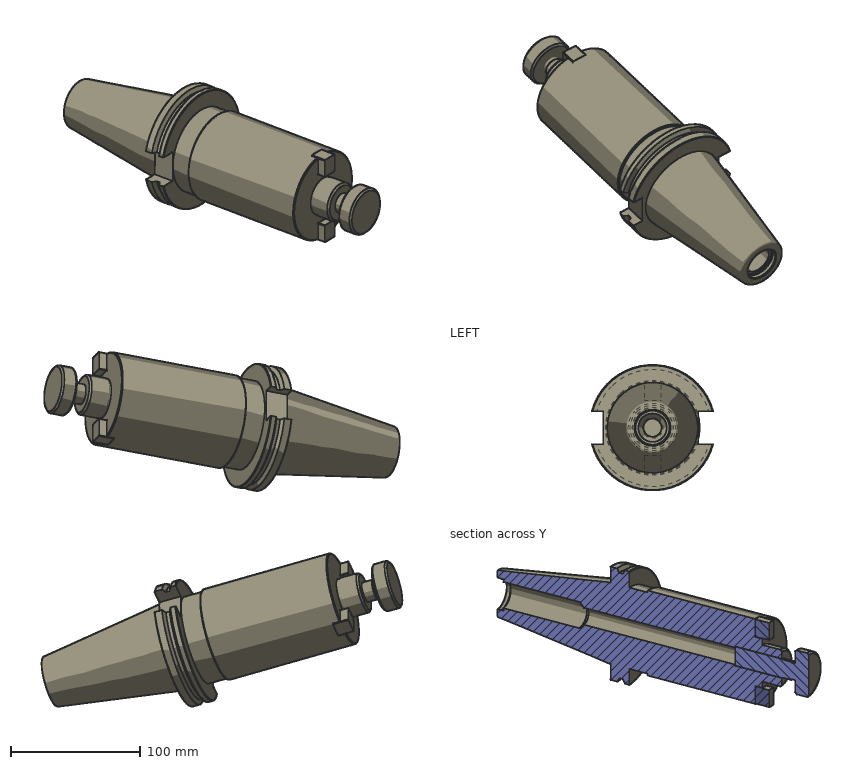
import cadquery as cq

INCH = 25.4

gauge_diameter = 2.75 * INCH
taper_length = 4.0 * INCH
taper_rate = 7 / 24
taper_end_fillet = 2.0
small_end_radius = (gauge_diameter - taper_length * taper_rate) / 2

flange_diameter = 97.14
flange_start = 103.0
flange_end = taper_length + 0.75 * INCH
flange_chamfer = 0.5
groove_center = taper_length + 0.44 * INCH
groove_root_width = 2.9
groove_mouth_width = 7.0
groove_depth = 3.4
slot_width = 25.25
slot_floor_back = 38.1
slot_floor_front = 35.5

body_diameter = 2.875 * INCH
body_start = flange_end + 0.625 * INCH
body_end = taper_length + 5.5 * INCH
body_chamfer = 0.8
pilot_diameter = 1.25 * INCH
pilot_end = body_end + 18.0
pilot_chamfer = 1.6
relief_diameter = 31.25
relief_width = 1.9
relief_cone_length = 0.8

bore_mouth_diameter = 28.0
counterbore_diameter = 26.7
counterbore_depth = 4.0
inner_step_diameter = 26.2
inner_step_depth = 5.7
bore_diameter = 21.97
bore_depth = 75.0
bore_cone_length = 4.0
channel_diameter = 14.0

key_width = 0.5 * INCH
key_length = 0.5 * INCH
key_end = body_end + 0.25 * INCH
key_outer = 36.1
key_inner = 21.2
key_chamfer = 0.5

overall_length = 283.62
screw_diameter = 0.625 * INCH
screw_tip = body_end - 25.0
screw_neck_diameter = 14.35
screw_neck_start = 267.5
screw_neck_fillet = 0.8
screw_head_diameter = 38.0
screw_head_length = 0.5 * INCH
screw_head_start = overall_length - screw_head_length
screw_head_chamfer = 1.5


def revolve_about_x(profile):
    """Turn a closed profile, drawn as X and radius, into a solid around the X axis."""
    return profile.close().revolve(360, (0, 0, 0), (1, 0, 0))


def x_cylinder(diameter, start, end):
    return cq.Workplane("YZ", origin=(start, 0, 0)).circle(diameter / 2).extrude(end - start)


def make_taper():
    taper = revolve_about_x(
        cq.Workplane("XY")
        .lineTo(0, small_end_radius)
        .lineTo(taper_length, gauge_diameter / 2)
        .lineTo(body_start, gauge_diameter / 2)
        .lineTo(body_start, 0)
    )
    return taper.faces("<X").edges().fillet(taper_end_fillet)


def make_flange():
    flange = x_cylinder(flange_diameter, flange_start, flange_end)
    flange = flange.edges().chamfer(flange_chamfer)

    rim = flange_diameter / 2
    root = rim - groove_depth
    groove = revolve_about_x(
        cq.Workplane("XY")
        .moveTo(groove_center - groove_mouth_width / 2, rim)
        .lineTo(groove_center - groove_root_width / 2, root)
        .lineTo(groove_center + groove_root_width / 2, root)
        .lineTo(groove_center + groove_mouth_width / 2, rim)
        .lineTo(groove_center + groove_mouth_width / 2, rim + groove_depth)
        .lineTo(groove_center - groove_mouth_width / 2, rim + groove_depth)
    )
    flange = flange.cut(groove)
    for side, floor in ((1, slot_floor_back), (-1, slot_floor_front)):
        slot = cq.Workplane("XY").box(2 * (flange_end - flange_start), rim, slot_width)
        slot = slot.translate((groove_center, side * (floor + rim / 2), 0))
        flange = flange.cut(slot)
    return flange


def make_body_and_pilot():
    body = x_cylinder(body_diameter, body_start, body_end).edges().chamfer(body_chamfer)
    pilot_start = body_end + relief_width
    pilot = revolve_about_x(
        cq.Workplane("XY")
        .moveTo(body_end, 0)
        .lineTo(body_end, relief_diameter / 2)
        .lineTo(pilot_start - relief_cone_length, relief_diameter / 2)
        .lineTo(pilot_start, pilot_diameter / 2)
        .lineTo(pilot_end - pilot_chamfer, pilot_diameter / 2)
        .lineTo(pilot_end, pilot_diameter / 2 - pilot_chamfer)
        .lineTo(pilot_end, 0)
    )
    return body.union(pilot)


def make_drawbar_bore():
    mouth_chamfer = (bore_mouth_diameter - counterbore_diameter) / 2
    return revolve_about_x(
        cq.Workplane("XY")
        .lineTo(0, bore_mouth_diameter / 2)
        .lineTo(mouth_chamfer, counterbore_diameter / 2)
        .lineTo(counterbore_depth, counterbore_diameter / 2)
        .lineTo(counterbore_depth, inner_step_diameter / 2)
        .lineTo(inner_step_depth, inner_step_diameter / 2)
        .lineTo(inner_step_depth, bore_diameter / 2)
        .lineTo(bore_depth, bore_diameter / 2)
        .lineTo(bore_depth + bore_cone_length, channel_diameter / 2)
        .lineTo(screw_tip, channel_diameter / 2)
        .lineTo(screw_tip, 0)
    )


def key_block(side, outer):
    """Block as long and wide as a key, from the key's inner face out to the given distance from the axis."""
    height = outer - key_inner
    block = cq.Workplane("XY").box(key_length, key_width, height)
    return block.translate((key_end - key_length / 2, 0, side * (key_inner + height / 2)))


def make_keyway(side):
    return key_block(side, body_diameter)


def make_key(side):
    return key_block(side, key_outer).edges("|X").chamfer(key_chamfer)


def make_screw():
    step = (screw_diameter - screw_neck_diameter) / 2
    shank = revolve_about_x(
        cq.Workplane("XY")
        .moveTo(screw_tip, 0)
        .lineTo(screw_tip, screw_diameter / 2)
        .lineTo(screw_neck_start, screw_diameter / 2)
        .lineTo(screw_neck_start + step, screw_neck_diameter / 2)
        .lineTo(screw_head_start - screw_neck_fillet, screw_neck_diameter / 2)
        .radiusArc((screw_head_start, screw_neck_diameter / 2 + screw_neck_fillet), -screw_neck_fillet)
        .lineTo(screw_head_start, 0)
    )
    head = x_cylinder(screw_head_diameter, screw_head_start, overall_length)
    return shank.union(head.edges().chamfer(screw_head_chamfer))


arbor = make_taper().union(make_flange()).union(make_body_and_pilot()).cut(make_drawbar_bore())
arbor = arbor.cut(x_cylinder(screw_diameter, screw_tip, pilot_end))

key_sides = (1, -1)
for side in key_sides:
    arbor = arbor.cut(make_keyway(side))
keys = [make_key(side) for side in key_sides]

screw = make_screw()

result = cq.Compound.makeCompound([arbor.val(), *[key.val() for key in keys], screw.val()])